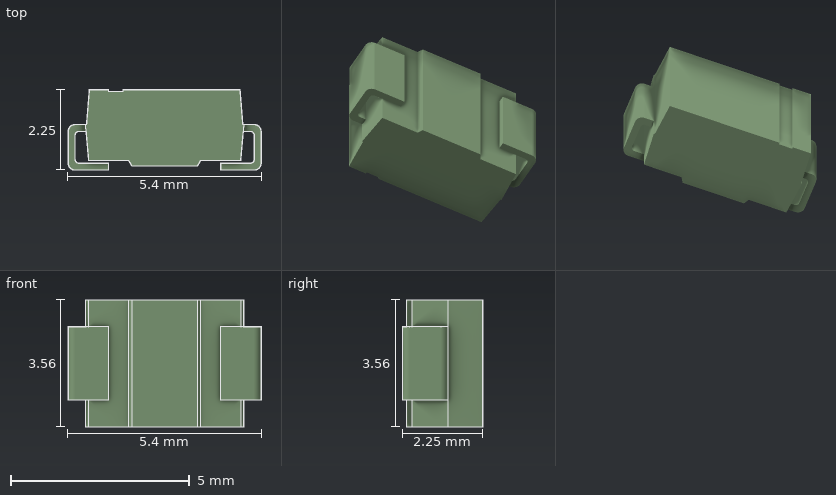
import cadquery as cq

OVERALL_LENGTH = 5.4
OVERALL_HEIGHT = 2.25
BODY_WIDTH = 3.56

UNDERSIDE_Y = 0.265
LOWER_UNDERSIDE_LENGTH = 4.255
LOWER_PARTING_LENGTH = 4.435
UPPER_PARTING_LENGTH = 4.375
UPPER_TOP_LENGTH = 4.22

PAD_FACE_Y = 0.115
PAD_FACE_LENGTH = 1.835
PAD_ROOT_LENGTH = 2.01

GROOVE_START_X = -1.565
GROOVE_LENGTH = 0.395
GROOVE_DEPTH = 0.05

LEAD_THICKNESS = 0.2
LEAD_WIDTH = 2.05
LEAD_TOP_Y = 1.28
FOOT_LENGTH = 1.135
OUTER_BEND_RADIUS = LEAD_THICKNESS
INNER_BEND_RADIUS = LEAD_THICKNESS / 2
LEAD_EMBED = 0.11

PARTING_Y = LEAD_TOP_Y


def trapezoid_prism(low_y, low_length, high_y, high_length):
    """Full-width prism, symmetric in X, between two heights."""
    return (
        cq.Workplane("XY")
        .moveTo(-low_length / 2, low_y)
        .lineTo(low_length / 2, low_y)
        .lineTo(high_length / 2, high_y)
        .lineTo(-high_length / 2, high_y)
        .close()
        .extrude(BODY_WIDTH / 2, both=True)
    )


def make_body():
    lower = trapezoid_prism(UNDERSIDE_Y, LOWER_UNDERSIDE_LENGTH, PARTING_Y, LOWER_PARTING_LENGTH)
    upper = trapezoid_prism(PARTING_Y, UPPER_PARTING_LENGTH, OVERALL_HEIGHT, UPPER_TOP_LENGTH)
    pad = trapezoid_prism(PAD_FACE_Y, PAD_FACE_LENGTH, UNDERSIDE_Y, PAD_ROOT_LENGTH)
    groove = cq.Workplane("XY").box(
        GROOVE_LENGTH, GROOVE_DEPTH, BODY_WIDTH, centered=(False, False, True)
    ).translate((GROOVE_START_X, OVERALL_HEIGHT - GROOVE_DEPTH, 0))
    return lower.union(upper).union(pad).cut(groove)


def make_left_lead():
    outer_x = -OVERALL_LENGTH / 2
    inner_x = outer_x + LEAD_THICKNESS
    foot_end_x = outer_x + FOOT_LENGTH
    arm_end_x = -LOWER_PARTING_LENGTH / 2 + LEAD_EMBED
    foot_top_y = LEAD_THICKNESS
    arm_bottom_y = LEAD_TOP_Y - LEAD_THICKNESS
    lead = (
        cq.Workplane("XY")
        .moveTo(arm_end_x, LEAD_TOP_Y)
        .lineTo(outer_x, LEAD_TOP_Y)
        .lineTo(outer_x, 0)
        .lineTo(foot_end_x, 0)
        .lineTo(foot_end_x, foot_top_y)
        .lineTo(inner_x, foot_top_y)
        .lineTo(inner_x, arm_bottom_y)
        .lineTo(arm_end_x, arm_bottom_y)
        .close()
        .extrude(LEAD_WIDTH / 2, both=True)
    )
    for y in (0, LEAD_TOP_Y):
        lead = lead.edges(cq.NearestToPointSelector((outer_x, y, 0))).fillet(OUTER_BEND_RADIUS)
    for y in (foot_top_y, arm_bottom_y):
        lead = lead.edges(cq.NearestToPointSelector((inner_x, y, 0))).fillet(INNER_BEND_RADIUS)
    return lead


left_lead = make_left_lead()
right_lead = left_lead.mirror("YZ")
result = make_body().union(left_lead).union(right_lead)